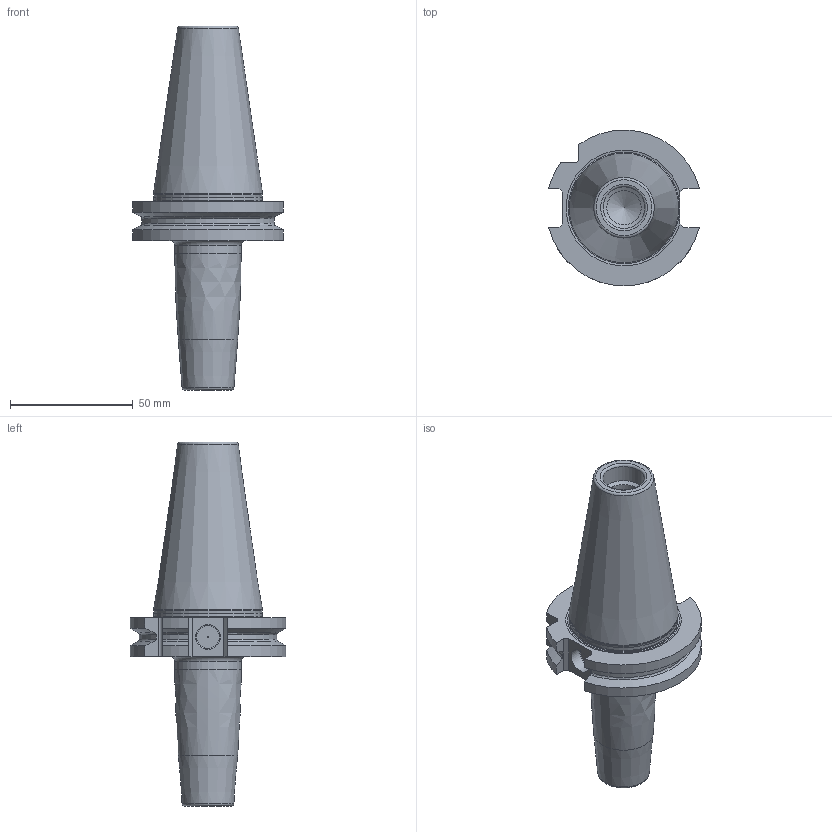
import cadquery as cq
import math


GAUGE_RADIUS = 44.45 / 2
TAPER_LENGTH = 68.4
TAPER_SLOPE = 7 / 48
TAPER_END_RADIUS = GAUGE_RADIUS - TAPER_SLOPE * TAPER_LENGTH
TAPER_END_ROUND = 1.0

FLANGE_RADIUS = 63.55 / 2
FLANGE_TOP = -3.2
FLANGE_BOTTOM = -19.1
GROOVE_CENTER = -11.1
GROOVE_MOUTH = 7.2
GROOVE_FLOOR_RADIUS = 56.25 / 2
GROOVE_FLANK_ANGLE = 30
GROOVE_CORNER_RADIUS = 1.0

RELIEF_START = -0.5
RELIEF_FLOOR_START = -1.35
RELIEF_NECK_DEPTH = 0.1
RELIEF_FACE_DEPTH = 0.2
RELIEF_RADIUS = 0.6
RELIEF_OUTER_RADIUS = 23.6

SLOT_WIDTH = 16.1
LEFT_SLOT_FLOOR = 25.0
RIGHT_SLOT_FLOOR = 22.8
SLOT_CORNER_CHAMFER = 1.6
NOTCH_FLOOR = 18.5
NOTCH_CORNER_RADIUS = 1.5

RECESS_RADIUS = 5.0
RECESS_DEPTH = 5.0
RECESS_FLOOR_ROUND = 0.3
CENTER_HOLE_RADIUS = 0.4
CENTER_HOLE_DEPTH = 1.0

NOSE_END = -80.0
NOSE_ROOT_RADIUS = 27.0 / 2
NOSE_ROOT_FILLET = 2.0
NOSE_STRAIGHT_END = -24.4
NOSE_CONE_START = -59.6
NOSE_CONE_ANGLE = 4.5
NOSE_END_ROUND = 1.0

BORE_MOUTH_ROUND = 1.0
COUNTERBORE_RADIUS = 8.5
COUNTERBORE_DEPTH = 8.0
THREAD_CORE_RADIUS = 7.0
THREAD_DEPTH = 32.0
DRILL_POINT_ANGLE = 118


def make_shank():
    shank = (
        cq.Workplane("XZ")
        .moveTo(0, FLANGE_BOTTOM)
        .lineTo(GAUGE_RADIUS, FLANGE_BOTTOM)
        .lineTo(GAUGE_RADIUS, 0)
        .lineTo(TAPER_END_RADIUS, TAPER_LENGTH)
        .lineTo(0, TAPER_LENGTH)
        .close()
        .revolve(360, (0, 0), (0, 1))
    )
    return shank.faces(">Z").edges().fillet(TAPER_END_ROUND)


def make_flange():
    height = FLANGE_TOP - FLANGE_BOTTOM
    flange = cq.Workplane("XY").workplane(offset=FLANGE_BOTTOM).circle(FLANGE_RADIUS).extrude(height)
    flank_rise = (FLANGE_RADIUS - GROOVE_FLOOR_RADIUS) * math.tan(math.radians(GROOVE_FLANK_ANGLE))
    half_mouth = GROOVE_MOUTH / 2
    half_floor = half_mouth - flank_rise
    groove = (
        cq.Workplane("XZ")
        .moveTo(FLANGE_RADIUS, GROOVE_CENTER - half_mouth)
        .lineTo(GROOVE_FLOOR_RADIUS, GROOVE_CENTER - half_floor)
        .lineTo(GROOVE_FLOOR_RADIUS, GROOVE_CENTER + half_floor)
        .lineTo(FLANGE_RADIUS, GROOVE_CENTER + half_mouth)
        .close()
        .revolve(360, (0, 0), (0, 1))
        .edges(cq.selectors.RadiusNthSelector(0))
        .fillet(GROOVE_CORNER_RADIUS)
    )
    return flange.cut(groove)


def make_relief():
    """Ring that undercuts both the neck and the flange face."""
    floor_radius = GAUGE_RADIUS - RELIEF_NECK_DEPTH
    bottom = FLANGE_TOP - RELIEF_FACE_DEPTH
    return (
        cq.Workplane("XZ")
        .moveTo(GAUGE_RADIUS, RELIEF_START)
        .lineTo(floor_radius, RELIEF_FLOOR_START)
        .lineTo(floor_radius, bottom + RELIEF_RADIUS)
        .radiusArc((floor_radius + RELIEF_RADIUS, bottom), -RELIEF_RADIUS)
        .lineTo(RELIEF_OUTER_RADIUS, FLANGE_TOP)
        .lineTo(RELIEF_OUTER_RADIUS, RELIEF_START)
        .close()
        .revolve(360, (0, 0), (0, 1))
    )


def make_nose():
    arc_length = NOSE_STRAIGHT_END - NOSE_CONE_START
    cone_angle = math.radians(NOSE_CONE_ANGLE)
    arc_radius = arc_length / math.sin(cone_angle)
    cone_start_radius = NOSE_ROOT_RADIUS - arc_radius * (1 - math.cos(cone_angle))
    end_radius = cone_start_radius - (NOSE_CONE_START - NOSE_END) * math.tan(cone_angle)
    fillet_end = FLANGE_BOTTOM - NOSE_ROOT_FILLET
    nose = (
        cq.Workplane("XZ")
        .moveTo(0, FLANGE_BOTTOM)
        .lineTo(NOSE_ROOT_RADIUS + NOSE_ROOT_FILLET, FLANGE_BOTTOM)
        .radiusArc((NOSE_ROOT_RADIUS, fillet_end), -NOSE_ROOT_FILLET)
        .lineTo(NOSE_ROOT_RADIUS, NOSE_STRAIGHT_END)
        .tangentArcPoint((cone_start_radius, NOSE_CONE_START), relative=False)
        .lineTo(end_radius, NOSE_END)
        .lineTo(0, NOSE_END)
        .close()
        .revolve(360, (0, 0), (0, 1))
    )
    return nose.faces("<Z").edges().fillet(NOSE_END_ROUND)


def make_rim_cutter(x_inner, side, y_low, y_high):
    """Block through the flange height, from x_inner outward past the rim; side is +1 or -1 along X."""
    length = FLANGE_RADIUS
    height = FLANGE_TOP - FLANGE_BOTTOM
    return (
        cq.Workplane("XY")
        .box(length, y_high - y_low, height, centered=(True, False, False))
        .translate((side * (x_inner + length / 2), y_low, FLANGE_BOTTOM))
    )


def make_drive_slot(side, floor_distance):
    slot = make_rim_cutter(floor_distance, side, -SLOT_WIDTH / 2, SLOT_WIDTH / 2)
    inner_face = "<X" if side > 0 else ">X"
    return slot.faces(inner_face).edges("|Z").chamfer(SLOT_CORNER_CHAMFER)


def make_notch():
    notch = make_rim_cutter(NOTCH_FLOOR, -1, NOTCH_FLOOR, FLANGE_RADIUS)
    return notch.edges("|Z and >X and <Y").fillet(NOTCH_CORNER_RADIUS)


def make_slot_recess():
    floor_x = -LEFT_SLOT_FLOOR + RECESS_DEPTH
    pocket = (
        cq.Workplane("YZ", origin=(floor_x, 0, GROOVE_CENTER))
        .circle(RECESS_RADIUS)
        .extrude(-RECESS_DEPTH)
        .faces(">X")
        .edges()
        .fillet(RECESS_FLOOR_ROUND)
    )
    center_hole = (
        cq.Workplane("YZ", origin=(floor_x, 0, GROOVE_CENTER))
        .circle(CENTER_HOLE_RADIUS)
        .extrude(CENTER_HOLE_DEPTH)
    )
    return pocket.union(center_hole)


def make_pull_stud_bore():
    point_slope = 1 / math.tan(math.radians(DRILL_POINT_ANGLE / 2))
    tip_depth = THREAD_DEPTH + THREAD_CORE_RADIUS * point_slope
    step_depth = COUNTERBORE_DEPTH + (COUNTERBORE_RADIUS - THREAD_CORE_RADIUS) * point_slope
    return (
        cq.Workplane("XZ", origin=(0, 0, TAPER_LENGTH))
        .lineTo(COUNTERBORE_RADIUS + BORE_MOUTH_ROUND, 0)
        .radiusArc((COUNTERBORE_RADIUS, -BORE_MOUTH_ROUND), -BORE_MOUTH_ROUND)
        .lineTo(COUNTERBORE_RADIUS, -COUNTERBORE_DEPTH)
        .lineTo(THREAD_CORE_RADIUS, -step_depth)
        .lineTo(THREAD_CORE_RADIUS, -THREAD_DEPTH)
        .lineTo(0, -tip_depth)
        .close()
        .revolve(360, (0, 0), (0, 1))
    )


result = (
    make_shank()
    .union(make_flange())
    .union(make_nose())
    .cut(make_relief())
    .cut(make_drive_slot(-1, LEFT_SLOT_FLOOR))
    .cut(make_drive_slot(1, RIGHT_SLOT_FLOOR))
    .cut(make_notch())
    .cut(make_slot_recess())
    .cut(make_pull_stud_bore())
)